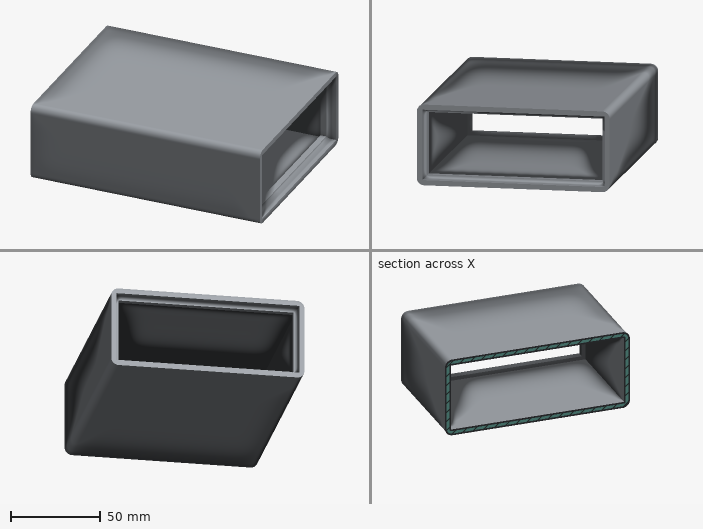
import cadquery as cq

length = 140.0
width = 110.0
height = 46.0
corner_radius = 4.2
wall = 3.0

mouth_depth = 3.0
lip_height = 2.2
lip_land = 3.5

lip_start = mouth_depth + lip_height
lip_end = lip_start + lip_land
inner_width = width - 2 * wall
inner_height = height - 2 * wall


def box_along_x(x_start, x_end, size_y, size_z):
    """Box centred on the X axis between two X positions."""
    box = cq.Workplane("XY").box(x_end - x_start, size_y, size_z)
    return box.translate(((x_start + x_end) / 2, 0, 0))


def lip_bar(wall_distance, bar_length):
    """Lip section along Y, lying on the wall below the X axis, at the -X end."""
    foot = -wall_distance
    crest = foot + lip_height
    cove_offset = lip_height * 0.5 ** 0.5
    cove_start = -length / 2 + mouth_depth
    section = (
        cq.Workplane("XZ", origin=(0, bar_length / 2, 0))
        .moveTo(cove_start, foot)
        .threePointArc(
            (cove_start + cove_offset, crest - cove_offset),
            (-length / 2 + lip_start, crest),
        )
        .lineTo(-length / 2 + lip_end, crest)
        .lineTo(-length / 2 + lip_end, foot)
        .close()
    )
    return section.extrude(bar_length)


def lip_ring():
    """Four bars meeting in mitred inner corners at the -X end."""
    floor_bar = lip_bar(inner_height / 2, inner_width)
    side_bar = lip_bar(inner_width / 2, inner_height).rotate((0, 0, 0), (1, 0, 0), 90)
    ring = floor_bar.union(side_bar)
    return ring.union(ring.rotate((0, 0, 0), (1, 0, 0), 180))


outer = box_along_x(-length / 2, length / 2, width, height).edges("|X").fillet(corner_radius)
cavity = box_along_x(-length / 2, length / 2, inner_width, inner_height)
near_lip = lip_ring()
far_lip = near_lip.mirror("YZ")

result = outer.cut(cavity).union(near_lip).union(far_lip)